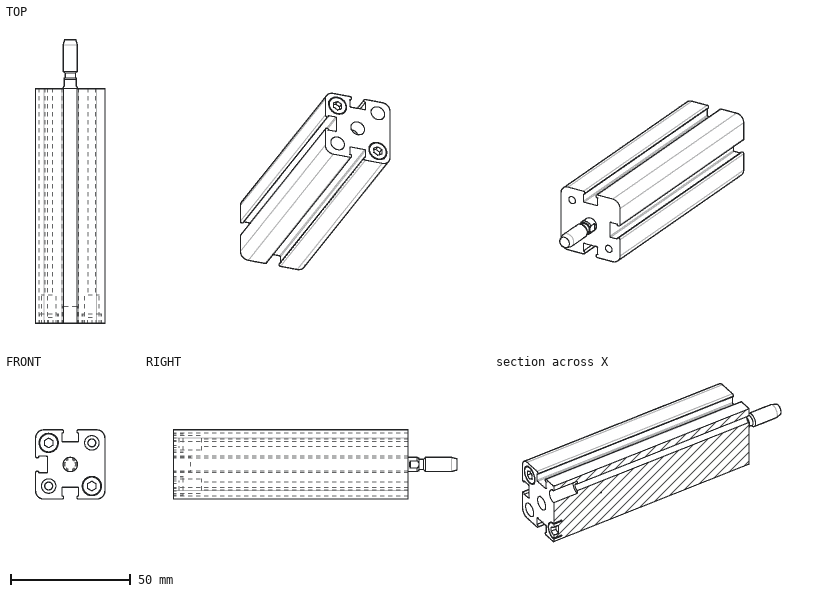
import cadquery as cq


total_length = 118.5
body_side = 29.0
body_length = 98.0
corner_radius = 3.5
half_side = body_side / 2

slot_width = 6.9
slot_depth = 5.0
slot_lip_radius = 0.7
slot_floor_radius = 0.4

hole_offset = 9.0
thread_bore_diameter = 6.0
thread_bore_depth = 11.8
center_bore_depth = 7.1
through_diameter = 3.2

screw_bore_diameter = 8.0
screw_head_diameter = 7.5
screw_head_height = 4.0
socket_corner_diameter = 4.0
socket_depth = 2.4

rod_diameter = 6.0
rod_radius = rod_diameter / 2
shank_length = 4.5
shank_chamfer_length = 0.7
shank_end_diameter = 5.3
neck_diameter = 4.4
neck_length = 2.0
undercut_taper_length = 0.7
tip_diameter = 4.7
tip_length = 2.4
flat_spacing = 5.2
flat_length = 4.1
flat_runout = 0.6


def along_y(y_start):
    """Sketch plane at y_start, with +X right, +Z up, facing -Y."""
    return cq.Workplane("XZ", origin=(0, y_start, 0))


def bore(x, z, diameter, depth):
    """Round cutter going into the body from the front end."""
    return along_y(0).center(x, z).circle(diameter / 2).extrude(-depth)


def slot_cutter():
    """Top slot: its mouth is narrowed by a half-round lip on each side."""
    half_width = slot_width / 2
    floor_z = half_side - slot_depth
    lip_middle_z = half_side - slot_lip_radius
    lip_bottom_z = half_side - 2 * slot_lip_radius
    lip_nose_x = half_width - slot_lip_radius
    cutter = (
        along_y(0)
        .moveTo(-half_width, half_side)
        .threePointArc((-lip_nose_x, lip_middle_z), (-half_width, lip_bottom_z))
        .lineTo(-half_width, floor_z)
        .lineTo(half_width, floor_z)
        .lineTo(half_width, lip_bottom_z)
        .threePointArc((lip_nose_x, lip_middle_z), (half_width, half_side))
        .close()
        .extrude(-body_length)
    )
    return cutter.faces("<Z").edges("|Y").fillet(slot_floor_radius)


def make_body():
    body = along_y(0).rect(body_side, body_side).extrude(-body_length)
    body = body.edges("|Y").fillet(corner_radius)
    for angle in (0, 180, -90):
        body = body.cut(slot_cutter().rotate((0, 0, 0), (0, 1, 0), angle))
    return body.cut(bore(0, 0, thread_bore_diameter, center_bore_depth))


def mounting_hole(x, z):
    """Wide bore at the front, narrow hole through the whole body."""
    wide_bore = bore(x, z, thread_bore_diameter, thread_bore_depth)
    return wide_bore.union(bore(x, z, through_diameter, body_length))


def screw_gap(x, z):
    """Ring-shaped clearance around a screw head, plus its hexagon socket."""
    ring = bore(x, z, screw_bore_diameter, screw_head_height)
    ring = ring.cut(bore(x, z, screw_head_diameter, screw_head_height))
    socket = (
        along_y(0)
        .center(x, z)
        .transformed(rotate=(0, 0, 90))
        .polygon(6, socket_corner_diameter)
        .extrude(-socket_depth)
    )
    return ring.union(socket)


def make_rod():
    """Turned rod profile with two wrench flats on the shank."""
    shank_end = body_length + shank_length
    neck_end = shank_end + neck_length
    neck_radius = neck_diameter / 2
    rod = (
        cq.Workplane("XY")
        .moveTo(0, body_length)
        .lineTo(rod_radius, body_length)
        .lineTo(rod_radius, shank_end - shank_chamfer_length)
        .lineTo(shank_end_diameter / 2, shank_end)
        .lineTo(neck_radius, shank_end)
        .lineTo(neck_radius, neck_end)
        .lineTo(rod_radius, neck_end + undercut_taper_length)
        .lineTo(rod_radius, total_length - tip_length)
        .lineTo(tip_diameter / 2, total_length)
        .lineTo(0, total_length)
        .close()
        .revolve(360, (0, 0, 0), (0, 1, 0))
    )

    flat_middle_y = shank_end - flat_length / 2
    for side in (-1, 1):
        flat_x = side * (flat_spacing + rod_diameter) / 2
        cutter = cq.Workplane("XY").box(rod_diameter, flat_length, rod_diameter)
        cutter = cutter.faces("<Y").edges("|Z").chamfer(flat_runout)
        rod = rod.cut(cutter.translate((flat_x, flat_middle_y, 0)))
    return rod


result = make_body()
for side in (-1, 1):
    result = result.cut(mounting_hole(side * hole_offset, side * hole_offset))
    result = result.cut(screw_gap(side * hole_offset, -side * hole_offset))
result = result.union(make_rod())